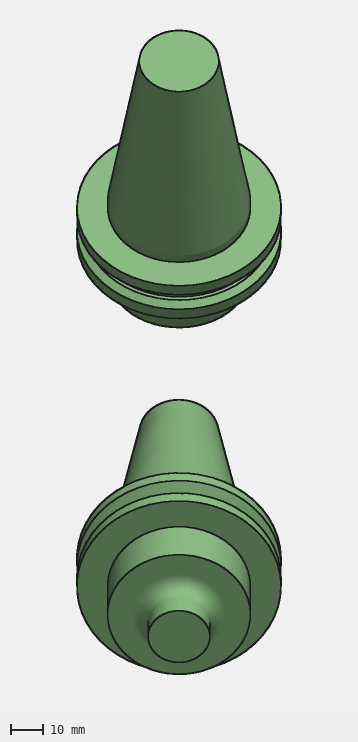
import cadquery as cq

total_height = 115.8
fillet_bottom_z = 7.5
body_bottom_z = 12.5
flange_bottom_z = 28.5
groove_lower_edge_z = 33.0
groove_floor_bottom_z = 34.5
groove_floor_top_z = 38.3
groove_upper_edge_z = 40.0
flange_top_z = 44.5
taper_bottom_z = 47.7

nose_radius = 9.6
body_radius = 22.2
flange_radius = 63.5 / 2
groove_radius = 28.0
lower_ledge_radius = 29.3
taper_top_radius = 12.4

fillet_radius = body_bottom_z - fillet_bottom_z

half_section = (
    cq.Workplane("XZ")
    .lineTo(nose_radius, 0)
    .lineTo(nose_radius, fillet_bottom_z)
    .radiusArc((nose_radius + fillet_radius, body_bottom_z), fillet_radius)
    .lineTo(body_radius, body_bottom_z)
    .lineTo(body_radius, flange_bottom_z)
    .lineTo(flange_radius, flange_bottom_z)
    .lineTo(flange_radius, groove_lower_edge_z)
    .lineTo(lower_ledge_radius, groove_floor_bottom_z)
    .lineTo(groove_radius, groove_floor_bottom_z)
    .lineTo(groove_radius, groove_floor_top_z)
    .lineTo(flange_radius, groove_upper_edge_z)
    .lineTo(flange_radius, flange_top_z)
    .lineTo(body_radius, flange_top_z)
    .lineTo(body_radius, taper_bottom_z)
    .lineTo(taper_top_radius, total_height)
    .lineTo(0, total_height)
    .close()
)

result = half_section.revolve(360, (0, 0, 0), (0, 1, 0))